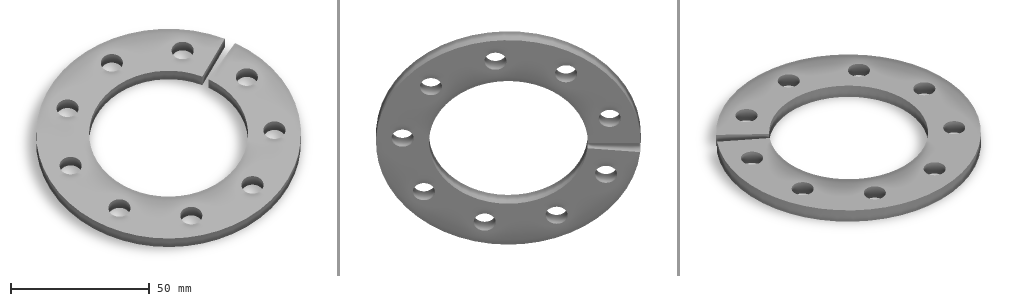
import cadquery as cq
import math

outer_diameter = 95.25
inner_diameter = 57.15
thickness = 5.0

hole_count = 9
hole_diameter = 7.94
bolt_circle_radius = (outer_diameter + inner_diameter) / 4
first_hole_angle = 90.0
hole_pitch_angle = 360.0 / hole_count

split_width_angle = 5.0
split_center_angle = first_hole_angle + hole_pitch_angle / 2


def polar_point(radius, angle):
    """Point at a radius and an angle in degrees, counted from +X towards +Y."""
    return (radius * math.cos(math.radians(angle)), radius * math.sin(math.radians(angle)))


def split_ring():
    """Ring sector that runs all the way round except for the split."""
    outer_radius = outer_diameter / 2
    inner_radius = inner_diameter / 2
    start_angle = split_center_angle + split_width_angle / 2
    end_angle = split_center_angle - split_width_angle / 2
    opposite_angle = split_center_angle + 180.0
    return (
        cq.Workplane("XY")
        .moveTo(*polar_point(outer_radius, start_angle))
        .threePointArc(polar_point(outer_radius, opposite_angle), polar_point(outer_radius, end_angle))
        .lineTo(*polar_point(inner_radius, end_angle))
        .threePointArc(polar_point(inner_radius, opposite_angle), polar_point(inner_radius, start_angle))
        .close()
        .extrude(thickness)
    )


def bolt_holes():
    """Through-hole cylinders, evenly spaced on the bolt circle."""
    return (
        cq.Workplane("XY")
        .polarArray(bolt_circle_radius, first_hole_angle, 360, hole_count)
        .circle(hole_diameter / 2)
        .extrude(thickness)
    )


result = split_ring().cut(bolt_holes())